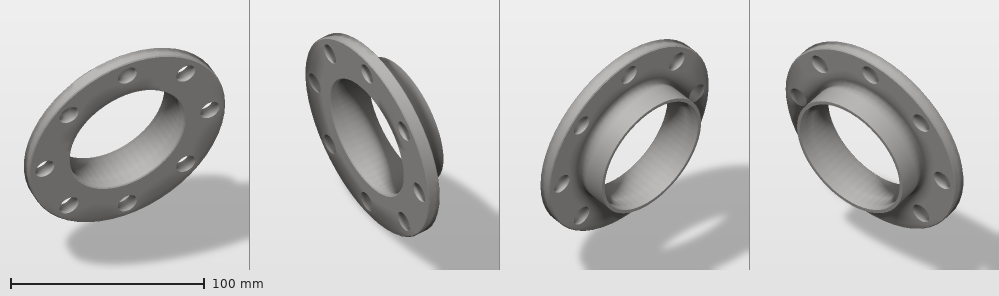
import cadquery as cq

flange_diameter = 113.0
total_length = 24.0
flange_thickness = 7.1
hub_diameter = 70.0
bore_diameter = 66.0

root_fillet = 2.0
edge_chamfer = 0.6

hole_count = 8
hole_diameter = 11.0
bolt_circle_diameter = 95.0

flange_face_x = total_length - flange_thickness


def disc(diameter, start_x, length):
    """Solid cylinder along X, starting at start_x."""
    return cq.Workplane("YZ", origin=(start_x, 0, 0)).circle(diameter / 2).extrude(length)


flange = disc(flange_diameter, flange_face_x, flange_thickness).edges().chamfer(edge_chamfer)

hub = disc(hub_diameter, 0, total_length)
body = flange.union(hub)
root_edge = cq.selectors.BoxSelector(
    (flange_face_x - root_fillet, -hub_diameter, -hub_diameter),
    (flange_face_x + edge_chamfer / 2, hub_diameter, hub_diameter),
)
body = body.edges(root_edge).edges(cq.selectors.RadiusNthSelector(0)).fillet(root_fillet)

body = body.cut(disc(bore_diameter, 0, total_length))
body = body.faces(">X").edges(cq.selectors.RadiusNthSelector(0)).chamfer(edge_chamfer)

bolt_holes = (
    cq.Workplane("YZ", origin=(flange_face_x, 0, 0))
    .polarArray(bolt_circle_diameter / 2, 0, 360, hole_count)
    .circle(hole_diameter / 2)
    .extrude(flange_thickness)
)
result = body.cut(bolt_holes)